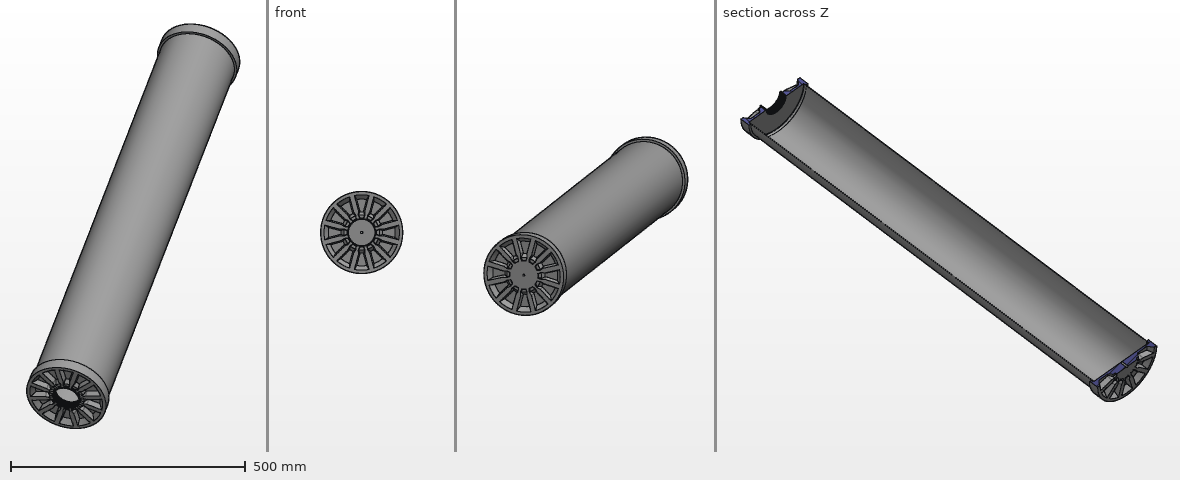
import cadquery as cq
import math

overall_length = 1092.2

tube_diameter = 165.1
tube_bore = 160.53

cap_diameter = 175.41
cap_thickness = 25.4
socket_depth = 6.35
plate_thickness = cap_thickness - socket_depth
tube_length = overall_length - 2 * plate_thickness

port_diameter = 56.36
groove_count = 9
groove_depth = 1.5
groove_pitch = plate_thickness / groove_count

vent_diameter = 4.0

pocket_count = 12
pocket_pitch = 360 / pocket_count
pocket_depth = 13.0
pocket_outer_radius = 80.26
pocket_inner_radius = 31.2
hub_radius = 37.8
hub_step = 4.0
end_draft = 35.0
side_draft = 12.0

rib_width = 10.5
waist_radius = 46.0
flare_half_width = 7.5
toe_radius = 28.2
toe_half_width = 3.5


def revolve_profile(profile):
    """Solid of revolution about Z from (radius, height) points."""
    return cq.Workplane("XZ").polyline(profile).close().revolve(360, (0, 0), (0, 1))


def make_relief_ring():
    """Ring swept by all the pockets as if there were no ribs, with a step around the hub."""
    end_slope = math.tan(math.radians(end_draft))
    floor_outer_radius = pocket_outer_radius - pocket_depth * end_slope
    floor_inner_radius = hub_radius + (pocket_depth - hub_step) * end_slope
    return revolve_profile(
        [
            (pocket_inner_radius, 0),
            (pocket_outer_radius, 0),
            (floor_outer_radius, -pocket_depth),
            (floor_inner_radius, -pocket_depth),
            (hub_radius, -hub_step),
            (pocket_inner_radius, -hub_step),
        ]
    )


def make_rib_gap():
    """Space between two neighbouring ribs, centred on +Y, with drafted sides."""
    half_pitch = math.radians(pocket_pitch / 2)
    apex_radius = rib_width / 2 / math.sin(half_pitch)
    reach = cap_diameter
    waist_half_width = (waist_radius - apex_radius) * math.tan(half_pitch)
    reach_half_width = (reach - apex_radius) * math.tan(half_pitch)
    right_side = [
        (toe_half_width, toe_radius),
        (flare_half_width, hub_radius),
        (waist_half_width, waist_radius),
        (reach_half_width, reach),
    ]
    left_side = [(-x, y) for x, y in reversed(right_side)]
    outline = cq.Workplane("XY").polyline(right_side + left_side).close()
    return outline.extrude(-pocket_depth, taper=side_draft)


def make_port():
    """Port bore with a stack of V grooves, running down from Z = 0."""
    crest_radius = port_diameter / 2
    profile = [(0, 0), (crest_radius, 0)]
    for index in range(groove_count):
        top = -index * groove_pitch
        profile.append((crest_radius + groove_depth, top - groove_pitch / 2))
        profile.append((crest_radius, top - groove_pitch))
    profile.append((0, -plate_thickness))
    return revolve_profile(profile)


def make_vent():
    """Plain bore through the end plate, running down from Z = 0."""
    return cq.Workplane("XY").circle(vent_diameter / 2).extrude(-plate_thickness)


def make_cap(opening, side):
    """Cap with the given central opening, at the -Y (side = -1) or +Y (side = 1) end."""
    cap = cq.Workplane("XY").circle(cap_diameter / 2).extrude(-cap_thickness)
    socket = cq.Workplane("XY", origin=(0, 0, -cap_thickness)).circle(tube_diameter / 2).extrude(socket_depth)
    cap = cap.cut(socket).cut(opening)
    pocket = make_relief_ring().intersect(make_rib_gap())
    for index in range(pocket_count):
        cap = cap.cut(pocket.rotate((0, 0, 0), (0, 0, 1), index * pocket_pitch))
    end_plane = cq.Plane(origin=(0, side * overall_length / 2, 0), xDir=(1, 0, 0), normal=(0, side, 0))
    return cq.Workplane(cap.val().moved(cq.Location(end_plane)))


def make_tube():
    start_plane = cq.Plane(origin=(0, -tube_length / 2, 0), xDir=(1, 0, 0), normal=(0, 1, 0))
    return cq.Workplane(start_plane).circle(tube_diameter / 2).circle(tube_bore / 2).extrude(tube_length)


tube = make_tube()
port_cap = make_cap(make_port(), -1)
vent_cap = make_cap(make_vent(), 1)

result = cq.Compound.makeCompound([tube.val(), port_cap.val(), vent_cap.val()])